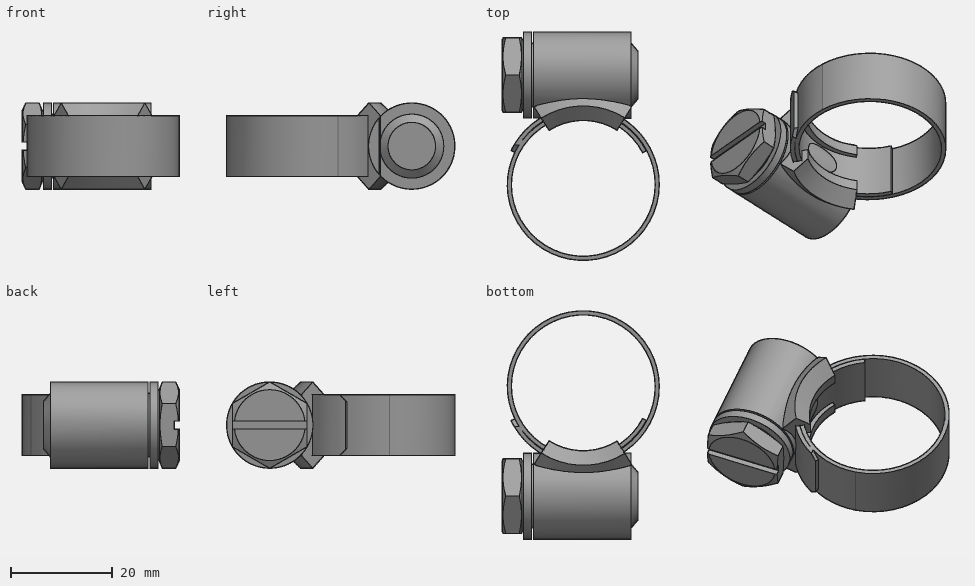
import cadquery as cq
import math

band_outer_radius = 14.98
band_thickness = 0.85
band_inner_radius = band_outer_radius - band_thickness
band_width = 11.95
layer_gap = 0.05
layer_pitch = band_thickness + layer_gap
inner_end_angle = 28.0
outer_end_angle = 155.0
ramp_end_angle = 188.0
end_chamfer = 1.5

total_length_y = 44.95
barrel_radius = 8.5
barrel_start_x = -9.8
barrel_end_x = 9.4
axis_y = total_length_y - band_outer_radius - barrel_radius

saddle_start_angle = 58.0
saddle_end_angle = 122.4
saddle_inner_radius = 12.55
saddle_peak_radius = 15.42
saddle_slope = 0.95
saddle_outer_radius = 18.0
lip_window_half_height = 3.4
window_depth = 2.25
end_clearance = 2.0

shank_radius = 6.3
head_start_x = -15.95
head_end_x = -12.0
flange_start_x = -11.8
flange_end_x = -10.15
screw_end_x = 10.8
tip_radius = 4.68
hex_corner_radius = barrel_radius
head_face_radius = 6.95
head_front_chamfer = 0.7
head_back_chamfer = 0.6
slot_width = 1.57
slot_depth = 1.1


def polar(radius, angle):
    """Point at a radius and an angle in degrees from +X."""
    return radius * math.cos(math.radians(angle)), radius * math.sin(math.radians(angle))


def ramp_radius(angle):
    """Inner face of the inner band layer, rising by one layer pitch along the ramp."""
    progress = (angle - inner_end_angle) / (ramp_end_angle - inner_end_angle)
    return band_inner_radius - layer_pitch * (1 - progress)


def ramp_sector(inner_offset, outer_offset, start, end, height):
    """Curved block that follows the ramp, between two offsets from its inner face."""
    middle = (start + end) / 2

    def point(offset, angle):
        return polar(ramp_radius(angle) + offset, angle)

    return (
        cq.Workplane("XY")
        .moveTo(*point(inner_offset, start))
        .threePointArc(point(inner_offset, middle), point(inner_offset, end))
        .lineTo(*point(outer_offset, end))
        .threePointArc(point(outer_offset, middle), point(outer_offset, start))
        .close()
        .extrude(height / 2, both=True)
    )


def x_cylinder(radius, start, end):
    """Cylinder on the screw axis."""
    return (
        cq.Workplane("YZ", origin=(start, axis_y, 0))
        .circle(radius)
        .extrude(end - start)
    )


def make_barrel():
    return x_cylinder(barrel_radius, barrel_start_x, barrel_end_x)


def make_round_part():
    """Round stretch of the band, from the end of the ramp back to the inner end."""
    middle = (ramp_end_angle + inner_end_angle + 360) / 2
    return (
        cq.Workplane("XY")
        .moveTo(*polar(band_inner_radius, ramp_end_angle))
        .threePointArc(polar(band_inner_radius, middle), polar(band_inner_radius, inner_end_angle))
        .lineTo(*polar(band_outer_radius, inner_end_angle))
        .threePointArc(polar(band_outer_radius, middle), polar(band_outer_radius, ramp_end_angle))
        .close()
        .extrude(band_width / 2, both=True)
    )


def make_outer_layer():
    layer = ramp_sector(
        layer_pitch, layer_pitch + band_thickness, inner_end_angle, outer_end_angle, band_width
    )
    corner_x, corner_y = polar(ramp_radius(outer_end_angle) + layer_pitch, outer_end_angle)
    half_width = band_width / 2
    for side in (-1, 1):
        corner = (
            cq.Workplane("YZ", origin=(corner_x, 0, 0))
            .polyline([
                (corner_y - end_chamfer, side * (half_width - 2 * end_chamfer)),
                (corner_y + end_chamfer, side * half_width),
                (corner_y - end_chamfer, side * half_width),
            ])
            .close()
            .extrude(band_outer_radius / 2, both=True)
        )
        layer = layer.cut(corner)
    return layer


def make_band():
    inner_layer = ramp_sector(0, band_thickness, inner_end_angle, ramp_end_angle, band_width)
    coil = make_round_part().union(inner_layer).union(make_outer_layer())
    return coil.cut(make_barrel())


def make_saddle():
    peak_z = barrel_radius
    inner_z = peak_z - saddle_slope * (saddle_peak_radius - saddle_inner_radius)
    outer_z = peak_z - saddle_slope * (saddle_outer_radius - saddle_peak_radius)
    saddle = (
        cq.Workplane("XZ")
        .polyline([
            (saddle_inner_radius, -inner_z),
            (saddle_peak_radius, -peak_z),
            (saddle_outer_radius, -outer_z),
            (saddle_outer_radius, outer_z),
            (saddle_peak_radius, peak_z),
            (saddle_inner_radius, inner_z),
        ])
        .close()
        .revolve(saddle_end_angle - saddle_start_angle, (0, 0, 0), (0, 1, 0))
    )
    saddle = saddle.rotate((0, 0, 0), (0, 0, 1), saddle_start_angle)
    cut_start = saddle_start_angle - end_clearance
    cut_end = saddle_end_angle + end_clearance
    slot = ramp_sector(0, layer_pitch + band_thickness, cut_start, cut_end, band_width)
    window = ramp_sector(-window_depth, layer_gap, cut_start, cut_end, 2 * lip_window_half_height)
    return saddle.cut(slot).cut(window)


def make_screw_head():
    head_length = head_end_x - head_start_x
    hexagon = (
        cq.Workplane("YZ", origin=(head_start_x, axis_y, 0))
        .polygon(6, 2 * hex_corner_radius)
        .extrude(head_length)
        .rotate((0, axis_y, 0), (1, axis_y, 0), 90)
    )
    envelope = (
        cq.Workplane("XY")
        .polyline([
            (head_start_x, axis_y),
            (head_start_x, axis_y + head_face_radius),
            (head_start_x + head_front_chamfer, axis_y + hex_corner_radius),
            (head_end_x - head_back_chamfer, axis_y + hex_corner_radius),
            (head_end_x, axis_y + head_face_radius),
            (head_end_x, axis_y),
        ])
        .close()
        .revolve(360, (0, axis_y, 0), (1, axis_y, 0))
    )
    slot = cq.Workplane("XY").box(2 * slot_depth, 2 * barrel_radius, slot_width)
    return hexagon.intersect(envelope).cut(slot.translate((head_start_x, axis_y, 0)))


def make_screw():
    collar = x_cylinder(head_face_radius, head_end_x, flange_start_x)
    flange = x_cylinder(barrel_radius, flange_start_x, flange_end_x)
    shank = x_cylinder(shank_radius, flange_start_x, screw_end_x)
    tip_length = screw_end_x - barrel_end_x
    shank = shank.faces(">X").chamfer(tip_length, shank_radius - tip_radius)
    return make_screw_head().union(collar).union(flange).union(shank)


def make_screw_housing(band):
    """Screw, barrel and saddle as one body, with the saddle fitted around the band."""
    return make_saddle().cut(band).union(make_barrel()).union(make_screw())


band = make_band()
screw_housing = make_screw_housing(band)

result = cq.Compound.makeCompound([band.solids().val(), screw_housing.solids().val()])